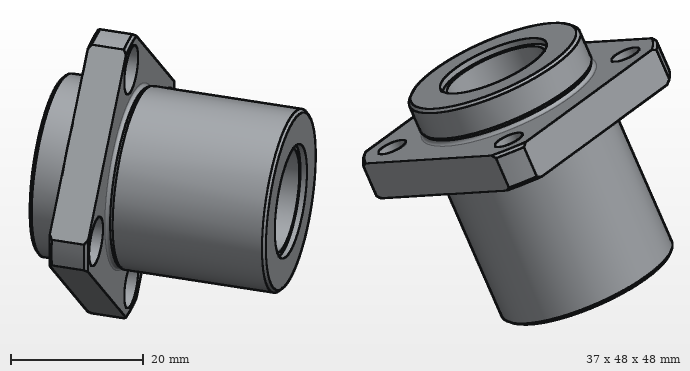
import cadquery as cq

total_length = 37.0
body_diameter = 28.0
flange_diameter = 48.0
flange_across_flats = 37.0
flange_thickness = 6.0
collar_length = 6.0
edge_chamfer = 0.5

groove_depth = 0.3
groove_fillet = 0.58
groove_width = 1.15
groove_taper = 0.5

bore_diameter = 16.0
recess_diameter = 17.4
recess_depth = 1.0

bolt_hole_diameter = 4.5
bolt_head_diameter = 7.5
bolt_head_depth = 4.1
bolt_circle_diameter = 38.0
bolt_count = 4

flange_front = collar_length
flange_back = collar_length + flange_thickness


def cylinder(diameter, start, length):
    """Solid cylinder around the X axis."""
    return cq.Workplane("YZ", origin=(start, 0, 0)).circle(diameter / 2).extrude(length)


def make_sleeve():
    return cylinder(body_diameter, 0, total_length).faces("<X or >X").chamfer(edge_chamfer)


def make_flange():
    """Square plate standing on a corner, its corners turned round and chamfered."""
    disc = cylinder(flange_diameter, flange_front, flange_thickness)
    disc = disc.faces("<X or >X").chamfer(edge_chamfer)
    square = (
        cq.Workplane("YZ", origin=(flange_front, 0, 0))
        .transformed(rotate=(0, 0, 45))
        .rect(flange_across_flats, flange_across_flats)
        .extrude(flange_thickness)
    )
    return disc.intersect(square)


def make_groove(flange_face, direction):
    """Ring to cut: fillet at the flange, straight floor, then a taper to the sleeve."""
    outer = body_diameter / 2
    floor = outer - groove_depth
    fillet_top = floor + groove_fillet
    fillet_end = flange_face + direction * groove_fillet
    bulge = groove_fillet * (1 - 0.5**0.5)
    return (
        cq.Workplane("XY")
        .moveTo(flange_face, fillet_top)
        .threePointArc((flange_face + direction * bulge, floor + bulge), (fillet_end, floor))
        .lineTo(flange_face + direction * (groove_width - groove_taper), floor)
        .lineTo(flange_face + direction * groove_width, outer)
        .lineTo(flange_face + direction * groove_width, fillet_top)
        .close()
        .revolve(360, (0, 0, 0), (1, 0, 0))
    )


def make_fillet_ring(flange_face, direction):
    """Plain ring that fills the corner before the groove is cut to its fillet."""
    diameter = body_diameter + 2 * (groove_fillet - groove_depth)
    return cylinder(diameter, flange_face, direction * groove_fillet)


def cut_bore(part):
    part = part.cut(cylinder(bore_diameter, 0, total_length))
    part = part.cut(cylinder(recess_diameter, 0, recess_depth))
    return part.cut(cylinder(recess_diameter, total_length, -recess_depth))


def cut_bolt_holes(part):
    return (
        part.copyWorkplane(cq.Workplane("YZ", origin=(flange_back, 0, 0)))
        .polarArray(bolt_circle_diameter / 2, 0, 360, bolt_count)
        .cboreHole(bolt_hole_diameter, bolt_head_diameter, bolt_head_depth, flange_thickness)
    )


result = cut_bolt_holes(make_flange()).union(make_sleeve())
for face, side in ((flange_front, -1), (flange_back, 1)):
    result = result.union(make_fillet_ring(face, side)).cut(make_groove(face, side))
result = cut_bore(result)
result = result.translate((-total_length / 2, 0, 0))